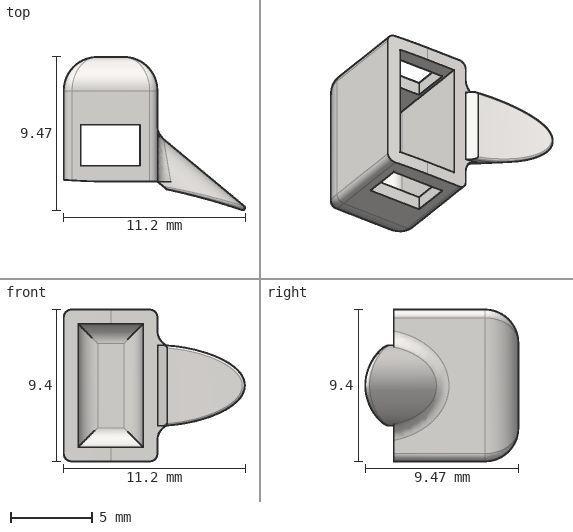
import cadquery as cq
import math

body_width = 5.8
body_depth = 7.72
body_height = 9.4
wall = 0.9
back_radius = 2.1
edge_radius = 0.5
mouth_relief = 0.11

window_left = 1.06
window_front = 1.0
window_width = 3.65
window_depth = 2.51

tab_angle = 39.7
tab_half_height = 2.5
tab_thickness = 2.26
tab_root = 0.45
bar_lead = 5.04
bar_length = 20.16
heel_x = 6.38
hollow_mid = (8.68, -1.04)
hollow_end = (12.12, -2.14)
rim_radius = 0.15
root_radius = 1.0


def rounded_back_block(width, depth, height, radius):
    """Block from Y = 0 to depth, with all four back edges rounded and mitred."""
    block_x = cq.Workplane("XY").box(width, depth, height, centered=(True, False, True))
    block_z = block_x.edges(">Y and |X").fillet(radius)
    block_x = block_x.edges(">Y and |Z").fillet(radius)
    return block_x.intersect(block_z)


def make_outer_body():
    """Round-backed block with its long edges and back mitres softened."""
    block = rounded_back_block(body_width, body_depth, body_height, back_radius)
    block = block.translate((body_width / 2, 0, 0))
    straight_depth = body_depth - back_radius
    corner_edges = [
        edge for edge in block.edges().vals()
        if edge.geomType() != "LINE"
        and edge.BoundingBox().xlen > 0.11 and edge.BoundingBox().zlen > 0.11
    ]
    corner_edges += [
        edge for edge in block.edges("|Y").vals()
        if abs(edge.Length() - straight_depth) < 0.01
    ]
    return block.newObject(corner_edges).fillet(edge_radius)


def make_cavity():
    cavity = rounded_back_block(
        body_width - 2 * wall, body_depth - wall, body_height - 2 * wall, back_radius - wall
    )
    return cavity.translate((body_width / 2, 0, 0))


def make_window():
    return (
        cq.Workplane("XY")
        .box(window_width, window_depth, 2 * body_height, centered=(False, False, True))
        .translate((window_left, window_front, 0))
    )


def make_mouth_relief():
    """Arc, tangent to the front plane at mid width, that trims the left half."""
    half_width = body_width / 2
    radius = (half_width**2 + mouth_relief**2) / (2 * mouth_relief)
    half_angle = math.asin(half_width / radius) / 2
    arc_middle = (
        half_width - radius * math.sin(half_angle),
        radius * (1 - math.cos(half_angle)),
    )
    return (
        cq.Workplane("XY")
        .moveTo(half_width, 0)
        .threePointArc(arc_middle, (0, mouth_relief))
        .lineTo(0, 0)
        .close()
        .extrude(body_height, both=True)
    )


def make_tab():
    slope = math.tan(math.radians(tab_angle))
    direction = cq.Vector(1, -slope, 0).normalized()
    bar_plane = cq.Plane(
        origin=cq.Vector(body_width, 0, 0) - direction * bar_lead,
        xDir=(0, 0, -1),
        normal=direction,
    )
    bar = (
        cq.Workplane(bar_plane)
        .moveTo(-tab_half_height, 0)
        .threePointArc((0, tab_thickness), (tab_half_height, 0))
        .close()
        .extrude(bar_length)
    )
    root_x = body_width - tab_root
    heel_y = -slope * (heel_x - body_width)
    side_profile = (
        cq.Workplane("XY")
        .moveTo(root_x, heel_y)
        .lineTo(heel_x, heel_y)
        .threePointArc(hollow_mid, hollow_end)
        .lineTo(hollow_end[0], body_depth)
        .lineTo(root_x, body_depth)
        .close()
        .extrude(body_height, both=True)
    )
    tab = bar.intersect(side_profile)
    rim = [
        edge for edge in tab.edges().vals()
        if edge.geomType() != "LINE" and edge.BoundingBox().xmin > heel_x - 0.11
    ]
    return tab.newObject(rim).fillet(rim_radius)


def blend_tab_root(body, tab):
    """Join the tab to the body, filleting the root only behind the front plane."""
    behind_front = cq.Workplane("XY").box(
        4 * body_width, body_depth, 2 * body_height, centered=(True, False, True)
    )
    joined = body.union(tab.intersect(behind_front))
    root_edges = [
        edge for edge in joined.edges().vals()
        if edge.geomType() != "LINE"
        and abs(edge.BoundingBox().xmin - body_width) < 0.001
        and edge.BoundingBox().xlen < 0.001
    ]
    return joined.newObject(root_edges).fillet(root_radius).union(tab)


result = blend_tab_root(make_outer_body(), make_tab())
result = result.cut(make_cavity()).cut(make_window()).cut(make_mouth_relief())